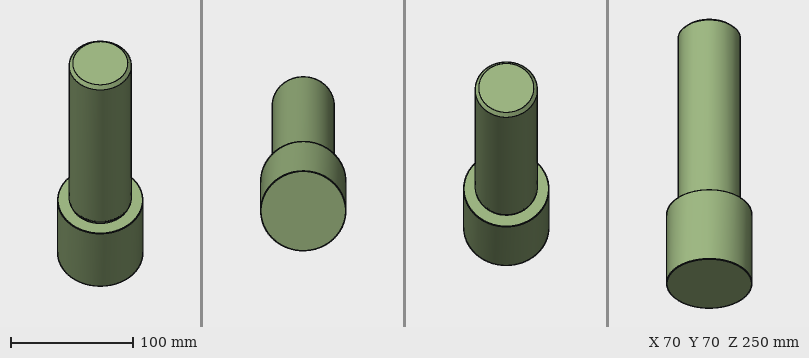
import cadquery as cq

total_height = 250.0
head_diameter = 70.0
head_height = 70.0
head_chamfer = 0.5
shank_diameter = 51.0
tip_chamfer = 3.0
neck_diameter = 49.0
neck_height = 3.0

head = (
    cq.Workplane("XY")
    .circle(head_diameter / 2)
    .extrude(head_height)
    .faces("<Z or >Z")
    .chamfer(head_chamfer)
)

neck = (
    cq.Workplane("XY")
    .workplane(offset=head_height)
    .circle(neck_diameter / 2)
    .extrude(neck_height)
)

shank_base = head_height + neck_height
shank = (
    cq.Workplane("XY")
    .workplane(offset=shank_base)
    .circle(shank_diameter / 2)
    .extrude(total_height - shank_base)
    .faces(">Z")
    .chamfer(tip_chamfer)
)

result = head.union(neck).union(shank)